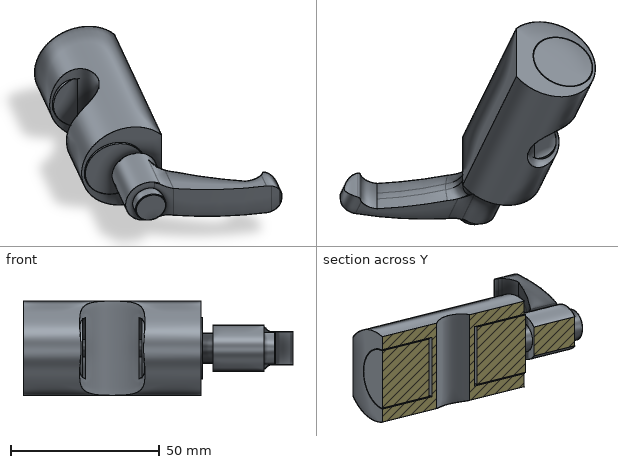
import cadquery as cq
import math

BODY_LENGTH = 60.0
BODY_RADIUS = 16.0
FLAT_Y = 12.0
SADDLE_RADIUS = 11.0
SADDLE_Y = -13.0
SADDLE_X = BODY_LENGTH / 2

INSERT_Y = -4.5
POCKET_RADIUS = 10.6
INSERT_RADIUS = 10.4
POCKET_DEPTH = 20.9
INSERT_GAP = 1.0
INSERT_OVERHANG = 0.55
INSERTS_END = BODY_LENGTH + INSERT_OVERHANG

LEVER_Y = 1.4
SPINDLE_RADIUS = 3.0
COLLAR_RADIUS = 5.1
HUB_START = 64.0
HUB_END = 81.3
HUB_RADIUS = 7.8
CAP_END = 85.1
CAP_RADIUS = 5.4
CAP_CHAMFER = 0.3

TOTAL_LENGTH = 91
ARM_START = 67.5
ARM_TIP_Y = 45.8
ARM_WIDTH = 11.2
ARM_HALF_WIDTH = ARM_WIDTH / 2
RIDGE_HALF_WIDTH = 1.3
ARM_ROOT_Y = 2.1
ARM_ROOT_HALF_WIDTH = 7.6
BLEND_END_Y = 9.6

RIDGE_ROOT_Y = LEVER_Y + HUB_RADIUS
RIDGE_SIDE = (RIDGE_ROOT_Y, (71.6, 10.4), (74.6, 13.4), (81.3, 23.6))
EDGE_ROOT_Y = 5.55
EDGE_SIDE = (EDGE_ROOT_Y, (71.25, 7.8), (75.0, 12.65), (81.4, 23.6))


def x_cylinder(radius, y, start, end):
    """Solid cylinder along X, centred at the given Y."""
    return cq.Workplane("YZ", origin=(start, y, 0)).circle(radius).extrude(end - start)


def clamp_body():
    """Round bar with its flat, the saddle across it and a pocket in each end."""
    body = x_cylinder(BODY_RADIUS, 0, 0, BODY_LENGTH)
    beyond_flat = cq.Workplane("XY").box(
        BODY_LENGTH, BODY_RADIUS, 2 * BODY_RADIUS, centered=(False, False, True)
    ).translate((0, FLAT_Y, 0))
    body = body.cut(beyond_flat).cut(saddle())
    body = body.cut(x_cylinder(POCKET_RADIUS, INSERT_Y, 0, POCKET_DEPTH))
    return body.cut(x_cylinder(POCKET_RADIUS, INSERT_Y, BODY_LENGTH - POCKET_DEPTH, BODY_LENGTH))


def saddle():
    """Round cutter along Z for the clamped bar."""
    return (
        cq.Workplane("XY")
        .center(SADDLE_X, SADDLE_Y)
        .circle(SADDLE_RADIUS)
        .extrude(BODY_RADIUS, both=True)
    )


def inserts():
    """Two plugs whose inner faces stand off the pocket floors."""
    left_face = POCKET_DEPTH - INSERT_GAP
    right_face = BODY_LENGTH - left_face
    left = x_cylinder(INSERT_RADIUS, INSERT_Y, 0, left_face)
    return left.union(x_cylinder(INSERT_RADIUS, INSERT_Y, right_face, INSERTS_END))


def lever_shaft():
    """Spindle joining the inserts through the body, then collar, hub and end cap."""
    spindle_start = POCKET_DEPTH / 2
    spindle = x_cylinder(SPINDLE_RADIUS, LEVER_Y, spindle_start, HUB_END)
    collar = x_cylinder(COLLAR_RADIUS, LEVER_Y, INSERTS_END, HUB_START)
    hub = x_cylinder(HUB_RADIUS, LEVER_Y, HUB_START, HUB_END)
    cap = x_cylinder(CAP_RADIUS, LEVER_Y, HUB_END, CAP_END).faces(">X").chamfer(CAP_CHAMFER)
    return spindle.union(collar).union(hub).union(cap)


def arm_outline(plane, root_y, root_middle, bend, flank_middle):
    """Arm outline in XY; the arguments set the inner side, which differs between ridge and edge."""
    return (
        plane.moveTo(HUB_END, ARM_ROOT_Y)
        .lineTo(ARM_START, ARM_ROOT_Y)
        .lineTo(ARM_START, root_y)
        .threePointArc(root_middle, bend)
        .threePointArc(flank_middle, (86.3, 33.9))
        .threePointArc((85.8, 37.9), (84.1, 40.4))
        .lineTo(83.1, 40.95)
        .threePointArc((82.8, 41.3), (82.7, 41.9))
        .threePointArc((83.7, 44.2), (85.7, ARM_TIP_Y))
        .lineTo(90.4, ARM_TIP_Y)
        .threePointArc((90.8, 45.3), (TOTAL_LENGTH, 44.1))
        .lineTo(TOTAL_LENGTH, 41.9)
        .threePointArc((88.8, 25.2), (84.0, BLEND_END_Y))
        .threePointArc((82.2, 6.2), (HUB_END, 3.7))
        .close()
    )


def arm_section():
    """Upper half of the arm section in YZ: root, concave blend, straight side, round tip."""
    reach = BLEND_END_Y - LEVER_Y
    blend_radius = (reach**2 + ARM_HALF_WIDTH**2 - HUB_RADIUS**2) / (2 * (HUB_RADIUS - ARM_HALF_WIDTH))
    blend_centre_z = ARM_HALF_WIDTH + blend_radius
    angle = math.atan2(blend_centre_z, reach)
    touch = (LEVER_Y + HUB_RADIUS * math.cos(angle), HUB_RADIUS * math.sin(angle))
    middle_angle = (angle + math.pi / 2) / 2
    blend_middle = (
        BLEND_END_Y - blend_radius * math.cos(middle_angle),
        blend_centre_z - blend_radius * math.sin(middle_angle),
    )
    return (
        cq.Workplane("YZ", origin=(ARM_START, 0, 0))
        .moveTo(ARM_ROOT_Y, 0)
        .lineTo(ARM_ROOT_Y, ARM_ROOT_HALF_WIDTH)
        .lineTo(*touch)
        .threePointArc(blend_middle, (BLEND_END_Y, ARM_HALF_WIDTH))
        .lineTo(ARM_TIP_Y - ARM_HALF_WIDTH, ARM_HALF_WIDTH)
        .tangentArcPoint((ARM_TIP_Y, 0), relative=False)
        .close()
        .extrude(TOTAL_LENGTH - ARM_START)
    )


def arm_layer(z, inner_side):
    """Arm outline drawn at the given height above the middle plane."""
    return arm_outline(cq.Workplane("XY", origin=(0, 0, z)), *inner_side)


def lever_arm():
    """Arm whose inner side slopes from a narrow central ridge out to both edges."""
    core = arm_layer(0, RIDGE_SIDE).extrude(RIDGE_HALF_WIDTH)
    ridge_edge = arm_layer(RIDGE_HALF_WIDTH, RIDGE_SIDE)
    outer_plane = ridge_edge.workplane(offset=ARM_HALF_WIDTH - RIDGE_HALF_WIDTH)
    slope = arm_outline(outer_plane, *EDGE_SIDE).loft(ruled=True)
    flare = arm_layer(ARM_HALF_WIDTH, EDGE_SIDE).extrude(HUB_RADIUS - ARM_HALF_WIDTH)
    half = core.union(slope).union(flare).intersect(arm_section())
    return half.union(half.mirror("XY"))


lever = lever_arm().union(lever_shaft())
result = clamp_body().union(inserts()).union(lever)